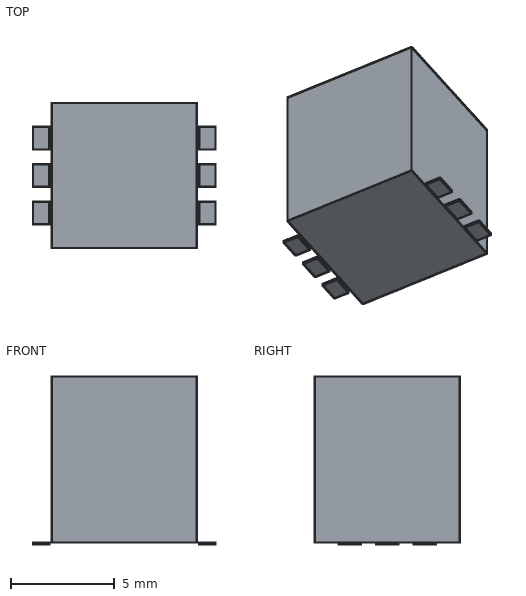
import cadquery as cq

overall_length = 8.8
body_width = 7.0
body_height = 8.0

pad_length = 0.8
pad_width = 1.1
pad_thickness = 0.1
pad_pitch = 1.8
pads_per_row = 3

pad_row_x = (overall_length - pad_length) / 2


def make_body():
    """Square block standing on the plane of the pads' top faces."""
    return (
        cq.Workplane("XY")
        .workplane(offset=pad_thickness)
        .rect(body_width, body_width)
        .extrude(body_height)
    )


def make_pad(x, y):
    """Thin rectangular pad lying on the base plane, clear of the body."""
    return cq.Workplane("XY").center(x, y).rect(pad_length, pad_width).extrude(pad_thickness)


body = make_body()

pads = []
for side in (-1, 1):
    for index in range(pads_per_row):
        pad_y = (index - (pads_per_row - 1) / 2) * pad_pitch
        pads.append(make_pad(side * pad_row_x, pad_y).val())

result = cq.Compound.makeCompound([body.val(), *pads])